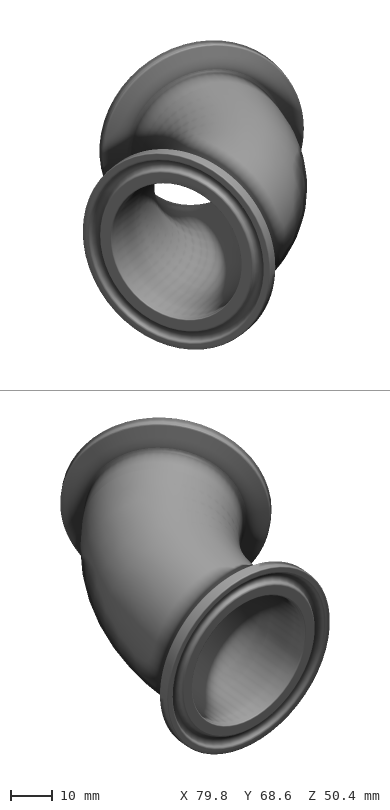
import cadquery as cq
import math


tube_radius = 38.1 / 2
bore_radius = 34.8 / 2
bend_radius = 57.2
bend_angle = 45.0

ferrule_length = 12.7
flange_radius = 50.4 / 2
rim_width = 2.9
cone_angle = 20.0
face_edge_fillet = 0.3
rim_back_fillet = 0.5
neck_fillet = 0.95

groove_center_radius = 21.9
groove_mouth_width = 2.95
groove_wall_angle = 65.0
groove_bottom_radius = 1.2
groove_lip_fillet = 0.55


def fillet_ring(body, axial_place, radius, fillet):
    """Round the circular edge of a body of revolution about X."""

    def is_ring(edge):
        return (
            edge.geomType() == "CIRCLE"
            and math.isclose(edge.Center().x, axial_place, abs_tol=0.0001)
            and math.isclose(edge.radius(), radius, abs_tol=0.0001)
        )

    return body.newObject([edge for edge in body.edges().vals() if is_ring(edge)]).fillet(fillet)


def make_ferrule():
    """Ferrule along X with its sealing face at the origin, facing -X."""
    cone_length = (flange_radius - tube_radius) * math.tan(math.radians(cone_angle))
    cone_end = rim_width + cone_length

    wall_slope = math.radians(groove_wall_angle)
    mouth_half = groove_mouth_width / 2
    groove_inner = groove_center_radius - mouth_half
    groove_outer = groove_center_radius + mouth_half
    bottom_half = groove_bottom_radius * math.sin(wall_slope)
    wall_depth = (mouth_half - bottom_half) * math.tan(wall_slope)
    groove_depth = wall_depth + groove_bottom_radius * (1 - math.cos(wall_slope))

    ferrule = (
        cq.Workplane("XY")
        .moveTo(0, bore_radius)
        .lineTo(0, groove_inner)
        .lineTo(wall_depth, groove_center_radius - bottom_half)
        .threePointArc(
            (groove_depth, groove_center_radius),
            (wall_depth, groove_center_radius + bottom_half),
        )
        .lineTo(0, groove_outer)
        .lineTo(0, flange_radius)
        .lineTo(rim_width, flange_radius)
        .lineTo(cone_end, tube_radius)
        .lineTo(ferrule_length, tube_radius)
        .lineTo(ferrule_length, bore_radius)
        .close()
        .revolve(360, (0, 0, 0), (1, 0, 0))
    )

    rings = [
        (0, bore_radius, face_edge_fillet),
        (0, groove_inner, groove_lip_fillet),
        (0, groove_outer, groove_lip_fillet),
        (0, flange_radius, face_edge_fillet),
        (rim_width, flange_radius, rim_back_fillet),
        (cone_end, tube_radius, neck_fillet),
    ]
    for axial_place, radius, fillet in rings:
        ferrule = fillet_ring(ferrule, axial_place, radius, fillet)
    return ferrule


def make_bend():
    """Tube bend that starts at the end of the first ferrule and turns towards -Y."""
    return (
        cq.Workplane("YZ", origin=(ferrule_length, 0, 0))
        .circle(tube_radius)
        .circle(bore_radius)
        .revolve(bend_angle, (-bend_radius, 0.8, 0), (-bend_radius, 0, 0))
    )


inlet = make_ferrule()

bend_start = (ferrule_length, 0, 0)
bend_center = (ferrule_length, -bend_radius, 0)
turned_ferrule = inlet.rotate(bend_start, (ferrule_length, 0, 1), 180)
outlet = turned_ferrule.rotate(bend_center, (ferrule_length, -bend_radius, 1), -bend_angle)

result = inlet.union(make_bend()).union(outlet)